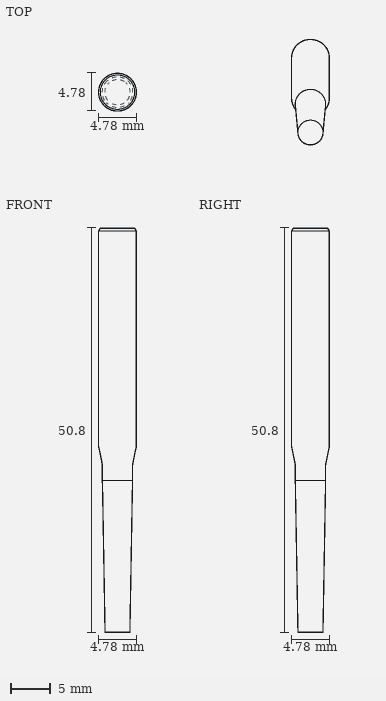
import cadquery as cq
import math

overall_length = 50.8
shank_diameter = 4.78
tip_diameter = 3.175
cutting_length = 19.05
taper_half_angle = 1.0
neck_length = 2.0
shoulder_length = 2.3
chamfer_height = 0.4
chamfer_angle_to_axis = 30.0

shank_radius = shank_diameter / 2
tip_radius = tip_diameter / 2
neck_radius = tip_radius + cutting_length * math.tan(math.radians(taper_half_angle))
neck_top = cutting_length + neck_length
shoulder_top = neck_top + shoulder_length
chamfer_start = overall_length - chamfer_height
chamfer_width = chamfer_height * math.tan(math.radians(chamfer_angle_to_axis))


def turned_body(outline):
    """Revolve a closed (radius, height) outline one full turn about the Z axis."""
    return cq.Workplane("YZ").polyline(outline).close().revolve(360, (0, 0), (0, 1))


def make_cutter():
    """Tapered cutting section, widening from the tip up to the neck."""
    return turned_body([
        (0, 0),
        (tip_radius, 0),
        (neck_radius, cutting_length),
        (0, cutting_length),
    ])


def make_shank():
    """Straight neck, conical shoulder and cylindrical shank with a chamfered end."""
    return turned_body([
        (0, cutting_length),
        (neck_radius, cutting_length),
        (neck_radius, neck_top),
        (shank_radius, shoulder_top),
        (shank_radius, chamfer_start),
        (shank_radius - chamfer_width, overall_length),
        (0, overall_length),
    ])


cutter = make_cutter()
shank = make_shank()

result = cq.Compound.makeCompound([cutter.val(), shank.val()])